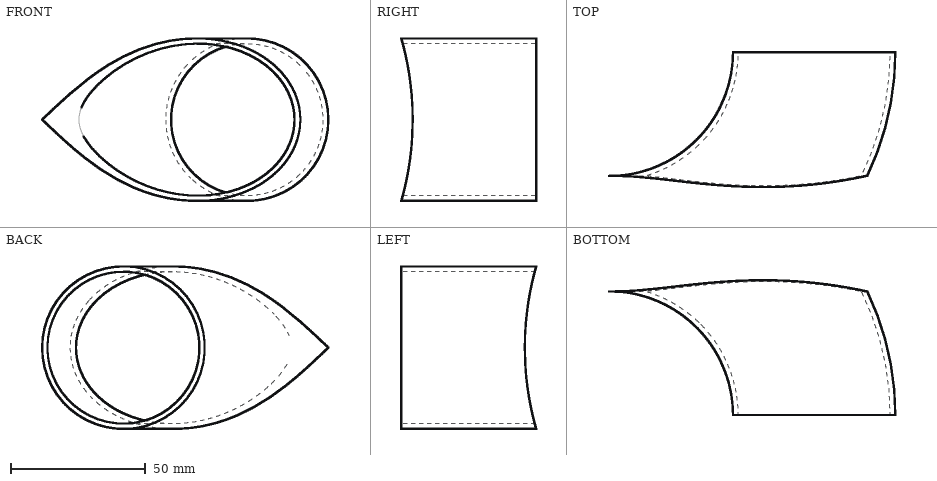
import cadquery as cq

pipe_diameter = 60.3
wall_thickness = 2.0
bend_radius = 76.0
bend_angle = 90.0
main_pipe_diameter = 219.1

pipe_radius = pipe_diameter / 2
bore_radius = pipe_radius - wall_thickness
main_pipe_radius = main_pipe_diameter / 2

inside_bend_radius = bend_radius - pipe_radius
main_pipe_axis_y = -(inside_bend_radius + main_pipe_radius)
main_pipe_half_length = 2 * bend_radius


def make_elbow():
    """Tube bent about a Z-parallel axis, from a flat end at Y = 0 towards -X."""
    ring = cq.Workplane("XZ").circle(pipe_radius).circle(bore_radius)
    bend_axis_start = (-bend_radius, 0)
    bend_axis_end = (-bend_radius, -1)
    return ring.revolve(bend_angle, bend_axis_start, bend_axis_end)


def make_main_pipe():
    """Solid cylinder with the outside diameter of the main pipe."""
    return (
        cq.Workplane("YZ")
        .center(main_pipe_axis_y, 0)
        .circle(main_pipe_radius)
        .extrude(main_pipe_half_length, both=True)
    )


result = make_elbow().cut(make_main_pipe())